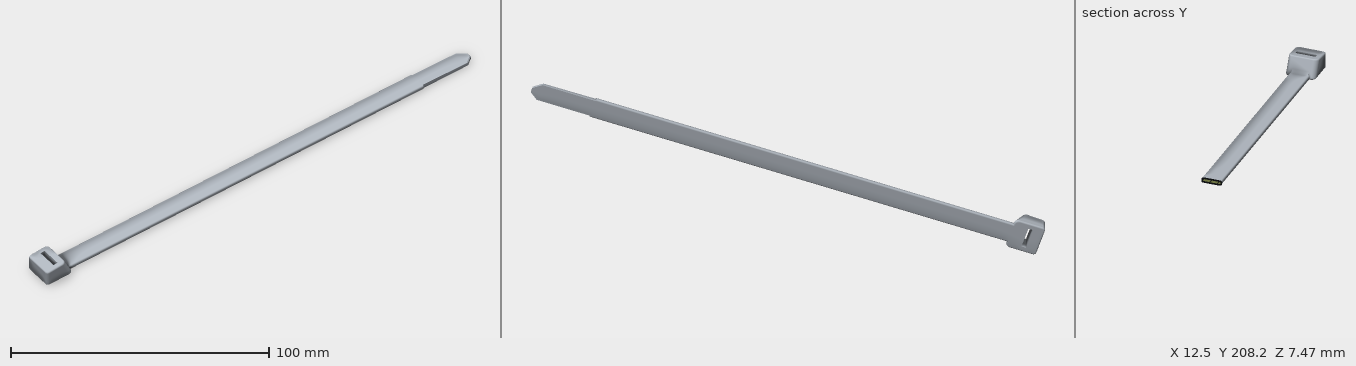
import cadquery as cq
import math

total_length = 208.2
head_width = 12.5
head_height = 7.5

strap_width = 8.1
strap_thickness = 1.9
strap_edge_radius = 0.6
tail_length = 25.0
tail_width = 6.9
tail_tip_thickness = 1.5
tail_point_width = 2.0
tail_point_length = 3.1
tail_point_chamfer = 0.5

head_foot_length = 13.0
head_top_length = 9.2
head_end_height = 6.7
end_corner_radius = 1.2
slope_corner_radius = 1.9
head_top_radius = 0.6
head_base_radius = 0.6
foot_blend_radius = 1.9

slot_width = 8.3
slot_length = 1.9
slot_from_head_end = 4.5

head_end = -total_length / 2
tail_tip = total_length / 2
tail_root = tail_tip - tail_length
head_foot = head_end + head_foot_length
ridge = head_end + head_top_length
slot_start = head_end + slot_from_head_end


def extrude_side_profile(points, width):
    """Prism from a Y-Z outline, centred on X = 0."""
    return cq.Workplane("YZ").polyline(points).close().extrude(width / 2, both=True)


def make_head():
    """Block with a sloped strap-side face, rounded corners and rounded rims."""
    head = extrude_side_profile(
        [
            (head_end, 0),
            (head_foot, 0),
            (ridge, head_height),
            (head_end, head_end_height),
        ],
        head_width,
    )
    head = head.edges("|Z").fillet(end_corner_radius)
    head = head.faces(">Y").edges("not |X").fillet(slope_corner_radius)
    head = head.faces("<Z").edges().fillet(head_base_radius)
    return head.faces(">Z").edges().fillet(head_top_radius)


def make_strap():
    """Flat band with rounded long edges, running from inside the head to the tail."""
    strap_start = slot_start + slot_length
    strap = extrude_side_profile(
        [
            (strap_start, 0),
            (tail_root, 0),
            (tail_root, strap_thickness),
            (strap_start, strap_thickness),
        ],
        strap_width,
    )
    return strap.edges("|Y").fillet(strap_edge_radius)


def make_tail():
    """Thin tapering tongue with a blunt, chamfered point."""
    wedge = extrude_side_profile(
        [
            (tail_root, 0),
            (tail_tip, 0),
            (tail_tip, tail_tip_thickness),
            (tail_root, strap_thickness),
        ],
        tail_width,
    )
    shoulder = tail_tip - tail_point_length
    for side in (-1, 1):
        corner = [
            (side * tail_width / 2, shoulder),
            (side * tail_width / 2, tail_tip),
            (side * tail_point_width / 2, tail_tip),
        ]
        wedge = wedge.cut(cq.Workplane("XY").polyline(corner).close().extrude(strap_thickness))
    return wedge.faces(">Z").edges("not (#X or <Y)").chamfer(tail_point_chamfer)


def make_slot():
    """Straight cutter for the opening through the head."""
    return (
        cq.Workplane("XY")
        .center(0, slot_start + slot_length / 2)
        .rect(slot_width, slot_length)
        .extrude(head_height)
    )


def make_foot_blend():
    """Concave blend from the flat of the strap's top up into the head's sloping face."""
    slope_angle = math.atan2(head_height, head_foot - ridge)
    tangent_length = foot_blend_radius * math.tan(slope_angle / 2)
    foot_corner = head_foot - strap_thickness / math.tan(slope_angle)
    slope_point = (
        foot_corner - tangent_length * math.cos(slope_angle),
        strap_thickness + tangent_length * math.sin(slope_angle),
    )
    blend_middle = (
        foot_corner + tangent_length - foot_blend_radius * math.sin(slope_angle / 2),
        strap_thickness + foot_blend_radius * (1 - math.cos(slope_angle / 2)),
    )
    flat_width = strap_width - 2 * strap_edge_radius
    return (
        cq.Workplane("YZ")
        .moveTo(foot_corner, strap_thickness)
        .lineTo(foot_corner + tangent_length, strap_thickness)
        .threePointArc(blend_middle, slope_point)
        .close()
        .extrude(flat_width / 2, both=True)
    )


result = (
    make_head()
    .union(make_strap())
    .union(make_foot_blend())
    .union(make_tail())
    .cut(make_slot())
)